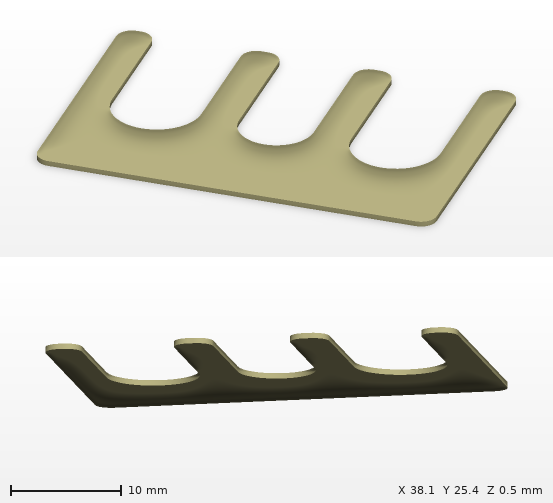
import cadquery as cq

length = 38.1
width = 25.4
thickness = 0.5
corner_radius = 1.5

side_slot_width = 8.55
middle_slot_width = 7.12
slot_spacing = 11.43
slot_center_y = 0.0


def open_slot(center_x, slot_width):
    """Cutter with a round bottom, running out through the +Y edge."""
    radius = slot_width / 2
    return (
        cq.Workplane("XY")
        .moveTo(center_x - radius, width / 2)
        .lineTo(center_x - radius, slot_center_y)
        .threePointArc((center_x, slot_center_y - radius), (center_x + radius, slot_center_y))
        .lineTo(center_x + radius, width / 2)
        .close()
        .extrude(thickness)
    )


plate = cq.Workplane("XY").box(length, width, thickness, centered=(True, True, False))

slots = [
    (-slot_spacing, side_slot_width),
    (0, middle_slot_width),
    (slot_spacing, side_slot_width),
]
for center_x, slot_width in slots:
    plate = plate.cut(open_slot(center_x, slot_width))

result = plate.faces(">Y or <Y").edges("|Z").fillet(corner_radius)